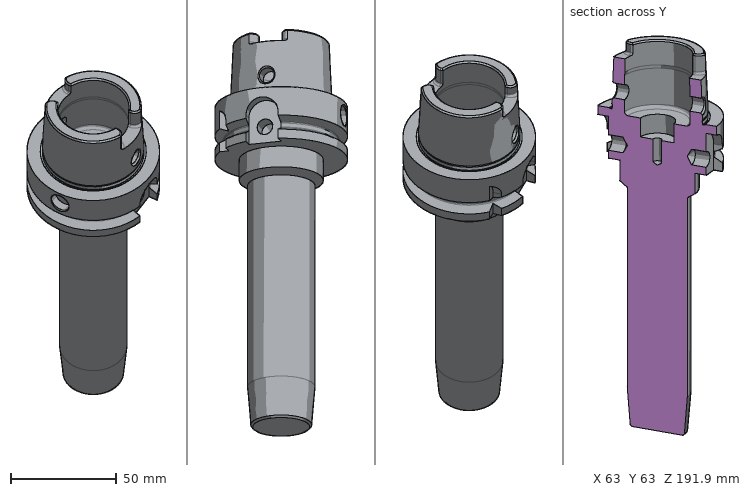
import cadquery as cq
import math


total_length = 191.9
taper_length = 32.0
flange_height = 26.0
flange_top = total_length - taper_length
flange_bottom = flange_top - flange_height
hub_bottom = 123.5
shank_top = 120.9
nose_length = 20.0

flange_diameter = 63.0
hub_diameter = 40.0
shank_diameter = 32.0
nose_taper_angle = 4.5
nose_chamfer = 1.0

taper_top_diameter = 45.7
taper_base_diameter = 48.4
rim_chamfer = 0.8
relief_height = 2.3
relief_depth = 0.4
face_relief_diameter = 50.3
face_relief_depth = 0.4

groove_height = 8.0
groove_z = flange_bottom + groove_height
groove_diameter = 54.5
groove_floor_width = 2.7
groove_mouth_width = 7.1
groove_floor_fillet = 0.5

bore_diameter = 33.8
bore_depth = 34.5
bore_lip_length = 12.7
undercut_diameter = 34.4
undercut_flare_length = 1.7
bore_floor_fillet = 1.7
tube_seat_diameter = 17.5
tube_seat_depth = 9.5
coolant_hole_diameter = 4.5
coolant_hole_depth = 11.5
drill_point_angle = 118.0

drive_slot_half_width = 6.0
drive_slot_corner_radius = 3.6
drive_slot_floor_fillet = 1.2
drive_slot_depth_left = 6.0
drive_slot_depth_right = 10.0

cross_hole_diameter = 7.3
cross_hole_mouth_diameter = 9.2
cross_hole_from_rim = 23.0
cross_hole_z = total_length - cross_hole_from_rim

key_slot_width = 16.0
key_slot_straight_height = 13.2
key_slot_arc_z = flange_bottom + key_slot_straight_height
key_slot_floor = 26.0
key_hole_diameter = 7.7
key_hole_depth = 7.7

notch_centre_y = 27.8
notch_floor = 20.0

chip_pocket_diameter = 9.5
chip_pocket_depth = 4.6
chip_pocket_from_rim = 39.0
chip_pocket_z = total_length - chip_pocket_from_rim
chip_pocket_chamfer = 0.5
chip_centre_hole_diameter = 1.2
chip_centre_hole_depth = 2.0


def drill_point_length(diameter):
    """Height of the cone a drill leaves at the bottom of a blind hole."""
    return diameter / 2 / math.tan(math.radians(drill_point_angle / 2))


def revolve_about_z(outline):
    return cq.Workplane("XZ").polyline(outline).close().revolve(360, (0, 0), (0, 1))


def revolve_about_x(outline):
    return cq.Workplane("XY").polyline(outline).close().revolve(360, (0, 0), (1, 0))


def on_side(shape, side):
    """Keep a shape made on the +X side there, or mirror it to the -X side."""
    return shape if side > 0 else shape.mirror("YZ")


def turned_body():
    """Solid of revolution: nose, shank, hub, grooved flange and taper."""
    shank_radius = shank_diameter / 2
    nose_radius = shank_radius - nose_length * math.tan(math.radians(nose_taper_angle))
    flange_radius = flange_diameter / 2
    groove_radius = groove_diameter / 2
    taper_base_radius = taper_base_diameter / 2
    relief_radius = taper_base_radius - relief_depth
    relief_floor = flange_top - face_relief_depth
    outline = [
        (0, 0),
        (nose_radius - nose_chamfer, 0),
        (nose_radius, nose_chamfer),
        (shank_radius, nose_length),
        (shank_radius, shank_top),
        (hub_diameter / 2, hub_bottom),
        (hub_diameter / 2, flange_bottom),
        (flange_radius, flange_bottom),
        (flange_radius, groove_z - groove_mouth_width / 2),
        (groove_radius, groove_z - groove_floor_width / 2),
        (groove_radius, groove_z + groove_floor_width / 2),
        (flange_radius, groove_z + groove_mouth_width / 2),
        (flange_radius, flange_top),
        (face_relief_diameter / 2, flange_top),
        (face_relief_diameter / 2, relief_floor),
        (taper_base_radius, relief_floor),
        (relief_radius, flange_top + relief_height / 2),
        (taper_base_radius, flange_top + relief_height),
        (taper_top_diameter / 2, total_length - rim_chamfer),
        (taper_top_diameter / 2 - rim_chamfer, total_length),
        (0, total_length),
    ]
    turned = revolve_about_z(outline)
    floor_edges = cq.selectors.BoxSelector(
        (-groove_radius, -groove_radius, groove_z - groove_floor_width),
        (groove_radius, groove_radius, groove_z + groove_floor_width),
    )
    return turned.edges("%CIRCLE").edges(floor_edges).fillet(groove_floor_fillet)


def clamping_bore():
    """Undercut bore open at the rim, with a coolant tube seat and coolant hole below it."""
    bore_floor = total_length - bore_depth
    seat_floor = bore_floor - tube_seat_depth
    hole_floor = seat_floor - coolant_hole_depth
    hole_radius = coolant_hole_diameter / 2
    bore_radius = bore_diameter / 2
    lip_end = total_length - bore_lip_length
    bore_outline = [
        (0, bore_floor),
        (undercut_diameter / 2, bore_floor),
        (undercut_diameter / 2, lip_end - undercut_flare_length),
        (bore_radius, lip_end),
        (bore_radius, total_length - rim_chamfer),
        (bore_radius + rim_chamfer, total_length),
        (0, total_length),
    ]
    bore = revolve_about_z(bore_outline).faces("<Z").edges().fillet(bore_floor_fillet)
    seat = (
        cq.Workplane("XY", origin=(0, 0, seat_floor))
        .circle(tube_seat_diameter / 2)
        .extrude(tube_seat_depth)
    )
    hole_outline = [
        (0, hole_floor - drill_point_length(coolant_hole_diameter)),
        (hole_radius, hole_floor),
        (hole_radius, seat_floor),
        (0, seat_floor),
    ]
    hole = revolve_about_z(hole_outline)
    return bore.union(seat).union(hole)


def drive_slot_plan(floor_z):
    """Plan of a slot on the +X side, flaring outwards round the wall ends."""
    radius = drive_slot_corner_radius
    flare_half_width = drive_slot_half_width + radius
    flare_x = math.sqrt((taper_top_diameter / 2) ** 2 - flare_half_width**2)
    arc_x = flare_x - radius
    mid_x = arc_x + radius * math.sin(math.radians(45))
    mid_y = flare_half_width - radius * math.cos(math.radians(45))
    outer_x = flange_diameter / 2
    return (
        cq.Workplane("XY", origin=(0, 0, floor_z))
        .moveTo(0, -drive_slot_half_width)
        .lineTo(arc_x, -drive_slot_half_width)
        .threePointArc((mid_x, -mid_y), (flare_x, -flare_half_width))
        .lineTo(outer_x, -flare_half_width)
        .lineTo(outer_x, flare_half_width)
        .lineTo(flare_x, flare_half_width)
        .threePointArc((mid_x, mid_y), (arc_x, drive_slot_half_width))
        .lineTo(0, drive_slot_half_width)
        .close()
    )


def drive_slot(side, depth):
    """Slot through the rim on one side of X, with a filleted floor and chamfered top edges."""
    slot = (
        drive_slot_plan(total_length - depth)
        .extrude(depth)
        .faces("<Z")
        .edges("not(<X or >X)")
        .fillet(drive_slot_floor_fillet)
    )
    top_chamfer = drive_slot_plan(total_length - rim_chamfer).extrude(rim_chamfer, taper=-45)
    return on_side(slot.union(top_chamfer), side)


def cross_hole(side):
    """Radial hole through the taper wall with a countersunk mouth."""
    hole_radius = cross_hole_diameter / 2
    mouth_radius = cross_hole_mouth_diameter / 2
    mouth_depth = mouth_radius - hole_radius
    taper_slope = (taper_base_diameter - taper_top_diameter) / 2 / (taper_length - relief_height)
    surface_x = taper_top_diameter / 2 + taper_slope * cross_hole_from_rim
    outer_x = flange_diameter / 2
    outline = [
        (0, 0),
        (0, hole_radius),
        (surface_x - mouth_depth, hole_radius),
        (surface_x, mouth_radius),
        (outer_x, mouth_radius),
        (outer_x, 0),
    ]
    hole = revolve_about_x(outline).translate((0, 0, cross_hole_z))
    return on_side(hole, side)


def round_topped_slot(side, centre_y, floor):
    """Round-topped slot milled along X into the flange, open downwards."""
    length = flange_diameter / 2 - floor
    straight = (
        cq.Workplane("YZ", origin=(floor, 0, 0))
        .center(centre_y, flange_bottom + key_slot_straight_height / 2)
        .rect(key_slot_width, key_slot_straight_height)
        .extrude(length)
    )
    top = (
        cq.Workplane("YZ", origin=(floor, 0, 0))
        .center(centre_y, key_slot_arc_z)
        .circle(key_slot_width / 2)
        .extrude(length)
    )
    return on_side(straight.union(top), side)


def key_hole(side):
    """Blind hole with a drill point in the floor of a key slot at groove height."""
    hole_floor = key_slot_floor - key_hole_depth
    outline = [
        (key_slot_floor, 0),
        (key_slot_floor, key_hole_diameter / 2),
        (hole_floor, key_hole_diameter / 2),
        (hole_floor - drill_point_length(key_hole_diameter), 0),
    ]
    hole = revolve_about_x(outline).translate((0, 0, groove_z))
    return on_side(hole, side)


def chip_pocket():
    """Flat-bottomed round pocket on the -Y side with a chamfered mouth and a small hole in its floor."""
    flange_radius = flange_diameter / 2
    pocket_floor = flange_radius - chip_pocket_depth
    pocket = (
        cq.Workplane("XZ", origin=(0, -pocket_floor, chip_pocket_z))
        .circle(chip_pocket_diameter / 2)
        .extrude(chip_pocket_depth)
    )
    mouth = (
        cq.Workplane("XZ", origin=(0, chip_pocket_chamfer - flange_radius, chip_pocket_z))
        .circle(chip_pocket_diameter / 2)
        .extrude(chip_pocket_chamfer, taper=-45)
    )
    centre_hole = (
        cq.Workplane("XZ", origin=(0, -pocket_floor + chip_centre_hole_depth, chip_pocket_z))
        .circle(chip_centre_hole_diameter / 2)
        .extrude(chip_centre_hole_depth)
    )
    return pocket.union(mouth).union(centre_hole)


result = turned_body().cut(clamping_bore())
result = result.cut(drive_slot(-1, drive_slot_depth_left))
result = result.cut(drive_slot(1, drive_slot_depth_right))
for side in (-1, 1):
    result = result.cut(cross_hole(side))
    result = result.cut(round_topped_slot(side, 0, key_slot_floor))
    result = result.cut(key_hole(side))
result = result.cut(round_topped_slot(-1, notch_centre_y, notch_floor))
result = result.cut(chip_pocket())